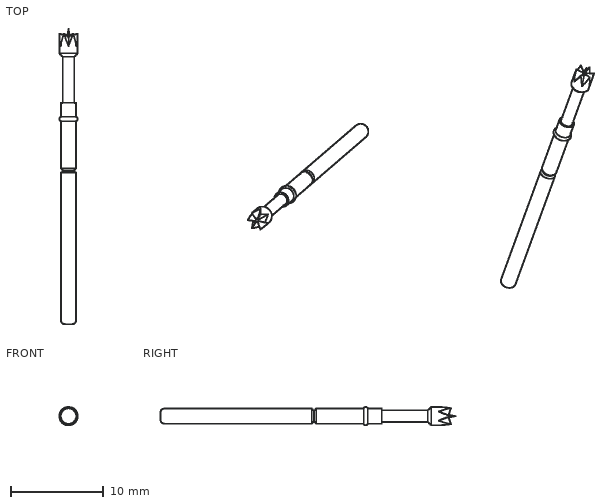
import cadquery as cq
import math


head_diameter = 2.0
stem_diameter = 1.3
barrel_diameter = 1.67
collar_diameter = 2.0
groove_diameter = 1.25
needle_base_diameter = 0.32

overall_length = 32.0
barrel_length = 24.0
head_length = 2.15
head_taper_length = 0.37
needle_protrusion = 0.5
tooth_depth = 1.35
crown_center_depth = 0.3
collar_center = 22.25
collar_width = 0.5
groove_center = 16.65
groove_width = 0.5
groove_floor_width = 0.1

back_fillet = 0.44
tooth_count = 6

head_radius = head_diameter / 2
stem_radius = stem_diameter / 2
barrel_radius = barrel_diameter / 2
collar_radius = collar_diameter / 2
groove_radius = groove_diameter / 2
needle_base_radius = needle_base_diameter / 2

crown_front = overall_length - needle_protrusion
crown_center = crown_front - crown_center_depth
crown_valley = crown_front - tooth_depth
head_back = crown_front - head_length


def turned(profile):
    """Revolve an open (radius, Y) outline, closed by a straight line, about the Y axis."""
    return profile.close().revolve(360, (0, 0, 0), (0, 1, 0))


def make_tube():
    """Barrel cylinder with a rounded back end."""
    tube = cq.Workplane("XZ").circle(barrel_radius).extrude(-barrel_length)
    return tube.faces("<Y").edges().fillet(back_fillet)


def make_collar():
    """Half-round bead around the barrel."""
    half_width = collar_width / 2
    bead_radius = collar_radius - half_width
    return turned(
        cq.Workplane("XY")
        .moveTo(0, collar_center - half_width)
        .lineTo(bead_radius, collar_center - half_width)
        .threePointArc((collar_radius, collar_center), (bead_radius, collar_center + half_width))
        .lineTo(0, collar_center + half_width)
    )


def make_groove():
    """Ring with sloped walls that forms the crimp groove."""
    half_top = groove_width / 2
    half_floor = groove_floor_width / 2
    return turned(
        cq.Workplane("XY")
        .moveTo(barrel_radius, groove_center - half_top)
        .lineTo(groove_radius, groove_center - half_floor)
        .lineTo(groove_radius, groove_center + half_floor)
        .lineTo(barrel_radius, groove_center + half_top)
    )


def make_plunger_blank():
    """Stem and taper-backed head, with a shallow conical hollow in the front."""
    return turned(
        cq.Workplane("XY")
        .moveTo(0, barrel_length)
        .lineTo(stem_radius, barrel_length)
        .lineTo(stem_radius, head_back - head_taper_length)
        .lineTo(head_radius, head_back)
        .lineTo(head_radius, crown_front)
        .lineTo(0, crown_center)
    )


def make_tooth_gap():
    """Pyramid that parts the teeth beside +Z: its apex is on the axis and it opens outward."""
    reach = 1.5
    half_angle = math.pi / tooth_count
    tip_x = reach * head_radius * math.sin(half_angle)
    tip_z = reach * head_radius * math.cos(half_angle)
    tip_y = crown_center + reach * (crown_front - crown_center)
    valley_y = crown_center + reach * (crown_valley - crown_center)

    apex = cq.Vector(0, crown_center, 0)
    left = cq.Vector(-tip_x, tip_y, tip_z)
    right = cq.Vector(tip_x, tip_y, tip_z)
    valley = cq.Vector(0, valley_y, reach * head_radius)

    triangles = [
        (apex, left, valley),
        (apex, valley, right),
        (apex, right, left),
        (left, right, valley),
    ]
    faces = [cq.Face.makeFromWires(cq.Wire.makePolygon(corners, close=True)) for corners in triangles]
    return cq.Workplane(cq.Solid.makeSolid(cq.Shell.makeShell(faces)))


def make_needle():
    """Slender cone on the axis, rooted inside the head."""
    return turned(
        cq.Workplane("XY")
        .moveTo(0, head_back)
        .lineTo(needle_base_radius, head_back)
        .lineTo(needle_base_radius, crown_center)
        .lineTo(0, overall_length)
    )


def make_plunger():
    plunger = make_plunger_blank()
    gap = make_tooth_gap()
    for index in range(tooth_count):
        turn = index * 360 / tooth_count
        plunger = plunger.cut(gap.rotate((0, 0, 0), (0, 1, 0), turn))
    return plunger.union(make_needle())


barrel = make_tube().union(make_collar()).cut(make_groove())
result = barrel.union(make_plunger())